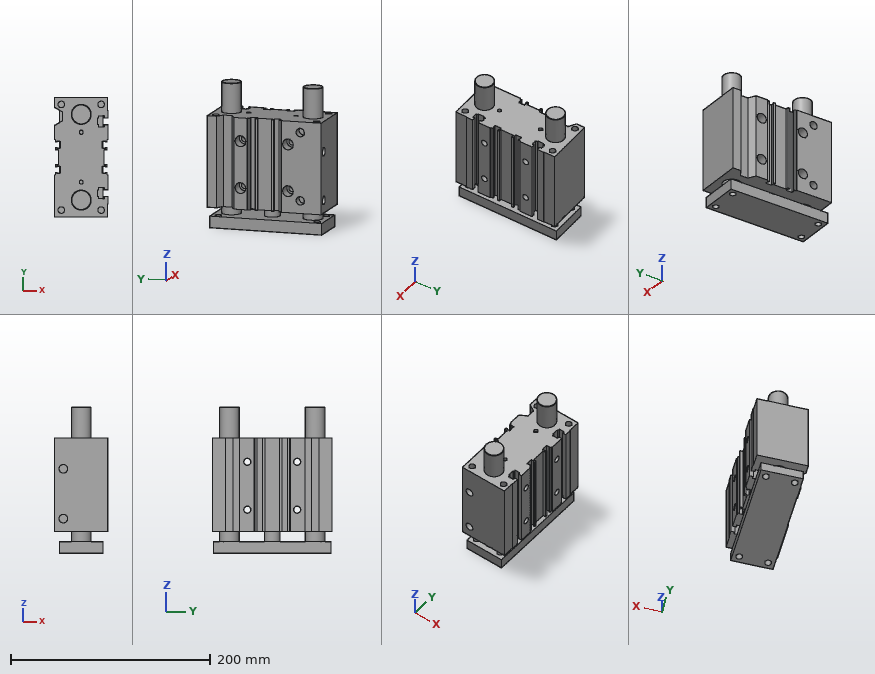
import cadquery as cq
import math

total_height = 147.0
plate_thickness = 12.0
housing_bottom = 22.0
housing_top = 116.0
housing_height = housing_top - housing_bottom

housing_half_length = 60.0
face_x = 27.0
slot_face_x = 26.0
corner_face_x = 26.5
corner_y = 47.0
slot_step_y = 17.5
slot_step_angle = 30.0
slot_step_run = (face_x - slot_face_x) * math.tan(math.radians(slot_step_angle))

sensor_slot_y = 12.5
sensor_mouth_width = 5.4
sensor_inner_width = 6.8
sensor_lip_x = 24.4
sensor_floor_x = 21.0
recess_x = 23.0
recess_half_width = 7.5

t_slot_y = 36.0
t_mouth_width = 6.6
t_inner_width = 11.0
t_lip_x = 23.0
t_floor_x = 17.2
t_relief_x = 16.2

groove_y = 41.0
groove_mouth_width = 18.2
groove_depth = 8.0
groove_wall_angle = 30.0

corner_hole_diameter = 6.6
corner_hole_depth = 15.0
corner_hole_x = 20.0
corner_hole_y = 53.0
pin_hole_diameter = 4.0
pin_hole_depth = 6.0
pin_hole_y = 25.0
pin_slot_length = 4.5
pin_slot_depth = 3.0
mount_hole_diameter = 6.8
mount_bore_diameter = 11.0
mount_bore_depth = 14.0
mount_hole_y = 25.0
mount_hole_z = (44.0, 92.0)
port_diameter = 8.6
port_depth = 10.0
side_port_y = -38.0
side_port_z = (35.0, 105.0)
end_port_x = -18.0
end_port_z = (35.0, 85.0)

plate_width = 44.0
plate_length = 118.0
plate_hole_diameter = 6.6
plate_hole_x = 15.0
plate_hole_y = 52.0
guide_rod_diameter = 20.0
guide_rod_y = 43.0
guide_rod_chamfer = 0.5
piston_rod_diameter = 16.0
piston_rod_entry = 10.0


def block(x_a, x_b, y_center, width):
    """Block of full housing height between two X values."""
    return (
        cq.Workplane("XY")
        .box(abs(x_b - x_a), width, housing_height, centered=(True, True, False))
        .translate(((x_a + x_b) / 2, y_center, housing_bottom))
    )


def prism(points):
    """Prism of full housing height over an XY outline."""
    return cq.Workplane("XY").workplane(offset=housing_bottom).polyline(points).close().extrude(housing_height)


def cylinder(diameter, bottom, top, x=0.0, y=0.0):
    """Vertical cylinder between two heights."""
    return cq.Workplane("XY").workplane(offset=bottom).center(x, y).circle(diameter / 2).extrude(top - bottom)


def x_hole(diameter, depth, y, z):
    """Cutter entering the -X face toward +X."""
    start = cq.Vector(-face_x, y, z)
    return cq.Workplane(cq.Solid.makeCylinder(diameter / 2, depth, start, cq.Vector(1, 0, 0)))


def y_hole(diameter, depth, x, z):
    """Cutter entering the -Y end toward +Y."""
    start = cq.Vector(x, -housing_half_length, z)
    return cq.Workplane(cq.Solid.makeCylinder(diameter / 2, depth, start, cq.Vector(0, 1, 0)))


def cut_side_relief(body, side):
    """Set-back middle of one side face, with its recess and two sensor slots."""
    body = body.cut(prism([
        (side * face_x, -slot_step_y - slot_step_run),
        (side * slot_face_x, -slot_step_y),
        (side * slot_face_x, slot_step_y),
        (side * face_x, slot_step_y + slot_step_run),
    ]))
    body = body.cut(block(side * recess_x, side * face_x, 0, 2 * recess_half_width))
    for y in (-sensor_slot_y, sensor_slot_y):
        body = body.cut(block(side * sensor_lip_x, side * face_x, y, sensor_mouth_width))
        body = body.cut(block(side * sensor_floor_x, side * sensor_lip_x, y, sensor_inner_width))
    return body


def cut_t_slot(body, y):
    """T slot in the +X face, with a narrow relief in its floor."""
    body = body.cut(block(t_relief_x, face_x, y, t_mouth_width))
    return body.cut(block(t_floor_x, t_lip_x, y, t_inner_width))


def cut_groove(body):
    """Tapered groove along the -X face."""
    mouth = groove_mouth_width / 2
    floor = mouth - groove_depth * math.tan(math.radians(groove_wall_angle))
    return body.cut(prism([
        (-face_x, groove_y - mouth),
        (-face_x + groove_depth, groove_y - floor),
        (-face_x + groove_depth, groove_y + floor),
        (-face_x, groove_y + mouth),
    ]))


def cut_top_holes(body):
    """Corner holes and pin holes in the top face; the +Y pin hole has an elongated mouth."""
    for y in (-corner_hole_y, corner_hole_y):
        for x in (-corner_hole_x, corner_hole_x):
            body = body.cut(cylinder(corner_hole_diameter, housing_top - corner_hole_depth, housing_top, x, y))
    for y in (-pin_hole_y, pin_hole_y):
        body = body.cut(cylinder(pin_hole_diameter, housing_top - pin_hole_depth, housing_top, 0, y))
    pin_slot = (
        cq.Workplane("XY")
        .workplane(offset=housing_top - pin_slot_depth)
        .center(0, pin_hole_y)
        .slot2D(pin_slot_length, pin_hole_diameter, 90)
        .extrude(pin_slot_depth)
    )
    return body.cut(pin_slot)


def cut_mount_holes(body):
    """Through holes along X, counterbored from the -X face."""
    for y in (-mount_hole_y, mount_hole_y):
        for z in mount_hole_z:
            body = body.cut(x_hole(mount_hole_diameter, 2 * face_x, y, z))
            body = body.cut(x_hole(mount_bore_diameter, mount_bore_depth, y, z))
    return body


def cut_ports(body):
    """Air ports in the -X face and the -Y end."""
    for z in side_port_z:
        body = body.cut(x_hole(port_diameter, port_depth, side_port_y, z))
    for z in end_port_z:
        body = body.cut(y_hole(port_diameter, port_depth, end_port_x, z))
    return body


def cut_rod_bores(body):
    """Guide rod through bores and the blind piston rod bore."""
    for y in (-guide_rod_y, guide_rod_y):
        body = body.cut(cylinder(guide_rod_diameter, housing_bottom, housing_top, 0, y))
    return body.cut(cylinder(piston_rod_diameter, housing_bottom, housing_bottom + piston_rod_entry))


def make_housing():
    body = block(-face_x, face_x, 0, 2 * housing_half_length)
    corner_width = housing_half_length - corner_y
    for side in (-1, 1):
        body = body.cut(block(corner_face_x, face_x, side * (corner_y + corner_width / 2), corner_width))
        body = cut_side_relief(body, side)
        body = cut_t_slot(body, side * t_slot_y)
    body = cut_groove(body)
    body = cut_top_holes(body)
    body = cut_mount_holes(body)
    body = cut_ports(body)
    return cut_rod_bores(body)


def make_moving_unit():
    """Tooling plate with corner holes, joined to the two guide rods and the piston rod."""
    plate = cq.Workplane("XY").box(plate_width, plate_length, plate_thickness, centered=(True, True, False))
    for y in (-plate_hole_y, plate_hole_y):
        for x in (-plate_hole_x, plate_hole_x):
            plate = plate.cut(cylinder(plate_hole_diameter, 0, plate_thickness, x, y))
    unit = plate.union(cylinder(piston_rod_diameter, plate_thickness, housing_bottom + piston_rod_entry))
    for y in (-guide_rod_y, guide_rod_y):
        rod = cylinder(guide_rod_diameter, plate_thickness, total_height, 0, y)
        unit = unit.union(rod.faces(">Z").chamfer(guide_rod_chamfer))
    return unit


housing = make_housing()
moving_unit = make_moving_unit()

result = cq.Compound.makeCompound([housing.val(), moving_unit.val()])